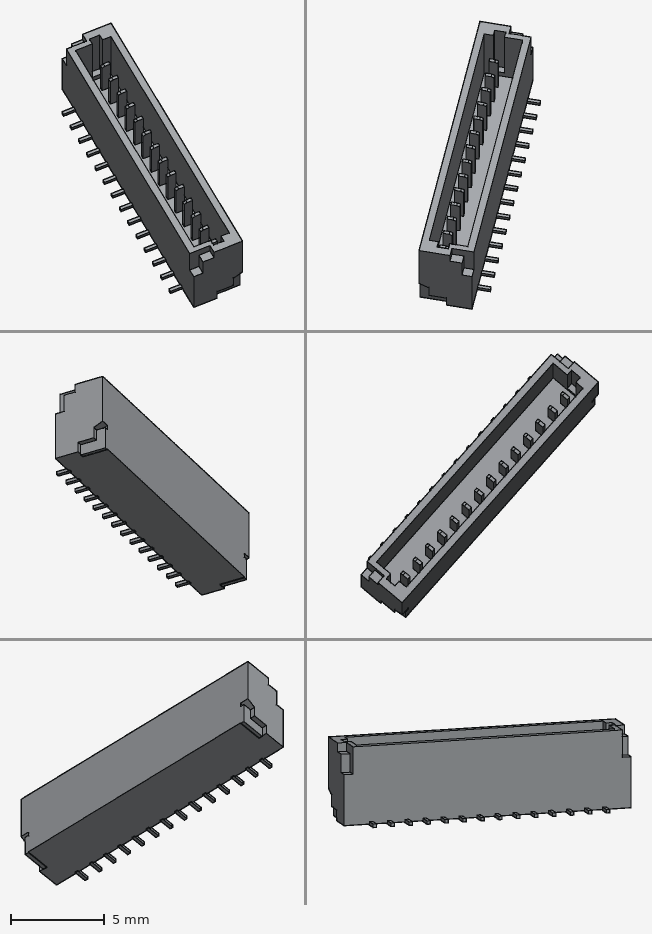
import cadquery as cq

LENGTH = 16.0
DEPTH = 2.9
HEIGHT = 4.32
STANDOFF = 0.05
FRONT = 0.0
BACK = FRONT + DEPTH
HALF_LENGTH = LENGTH / 2

END_WALL = 0.8
SIDE_WALL = 0.4
CAVITY_FLOOR = 0.96

KEY_REACH = 0.35
KEY_WIDTH = 0.6
KEY_BACK_OFFSET = 0.9
KEY_FLOOR = 1.28

NOTCH_INSET = 0.5
UPPER_STEP_WIDTH = 1.2
UPPER_STEP_DROP = 0.48
LOWER_STEP_WIDTH = 0.55
LOWER_STEP_DROP = 1.49

RECESS_DEPTH = 0.29
TAB_THICKNESS = 0.22
TAB_FOOT_WIDTH = 1.5
TAB_FOOT_HEIGHT = 0.64
TAB_ARM_WIDTH = 0.55
TAB_HEIGHT = 1.28
RECESS_HEIGHT = 1.52

PIN_COUNT = 14
END_MARGIN_PITCHES = 1.5
PITCH = LENGTH / (PIN_COUNT - 1 + 2 * END_MARGIN_PITCHES)
PIN_WIDTH = 0.2
FOOT_REACH = 0.7
FOOT_OVERLAP = 0.11
FOOT_HEIGHT = 0.2
PIN_BACK_OFFSET = 0.82
PIN_TIP_DEPTH = 0.34
PIN_DEPTH = 0.5
PIN_TOP = 3.05
PIN_TAPER_HEIGHT = 0.072


def block(x_min, x_max, y_min, y_max, z_min, z_max):
    """Axis-aligned box between two corners."""
    size = (x_max - x_min, y_max - y_min, z_max - z_min)
    return cq.Workplane("XY").box(*size, centered=False).translate((x_min, y_min, z_min))


def side_profile(points, x_start, width):
    """Outline of (y, z) points extruded along +X from x_start."""
    return cq.Workplane("YZ", origin=(x_start, 0, 0)).polyline(points).close().extrude(width)


def both_ends(left_end):
    """Left-end solid joined with its mirror image at the right end."""
    return left_end.union(left_end.mirror("YZ"))


def cavity():
    half_opening = HALF_LENGTH - END_WALL
    opening = block(
        -half_opening, half_opening, FRONT + SIDE_WALL, BACK - SIDE_WALL, CAVITY_FLOOR, HEIGHT
    )
    key_back = BACK - KEY_BACK_OFFSET
    key = block(
        -half_opening - KEY_REACH, -half_opening, key_back - KEY_WIDTH, key_back, KEY_FLOOR, HEIGHT
    )
    return opening.union(both_ends(key))


def corner_notches():
    profile = [
        (FRONT, HEIGHT),
        (FRONT + UPPER_STEP_WIDTH, HEIGHT),
        (FRONT + UPPER_STEP_WIDTH, HEIGHT - UPPER_STEP_DROP),
        (FRONT + LOWER_STEP_WIDTH, HEIGHT - UPPER_STEP_DROP),
        (FRONT + LOWER_STEP_WIDTH, HEIGHT - LOWER_STEP_DROP),
        (FRONT, HEIGHT - LOWER_STEP_DROP),
    ]
    return both_ends(side_profile(profile, -HALF_LENGTH, NOTCH_INSET))


def tab_outline(back_height):
    """L-shaped outline whose upright arm reaches back_height at the back face."""
    return [
        (BACK, 0),
        (BACK - TAB_FOOT_WIDTH, 0),
        (BACK - TAB_FOOT_WIDTH, TAB_FOOT_HEIGHT),
        (BACK - TAB_ARM_WIDTH, TAB_FOOT_HEIGHT),
        (BACK - TAB_ARM_WIDTH, TAB_HEIGHT),
        (BACK, back_height),
    ]


def tab_recesses():
    outline = tab_outline(RECESS_HEIGHT)
    return both_ends(side_profile(outline, -HALF_LENGTH, RECESS_DEPTH + TAB_THICKNESS))


def solder_tabs():
    outline = tab_outline(TAB_HEIGHT)
    return both_ends(side_profile(outline, -HALF_LENGTH + RECESS_DEPTH, TAB_THICKNESS))


def contact(x_center):
    x_min = x_center - PIN_WIDTH / 2
    foot = block(
        x_min, x_min + PIN_WIDTH, FRONT - FOOT_REACH, FRONT + FOOT_OVERLAP, 0, FOOT_HEIGHT
    )
    pin_back = BACK - PIN_BACK_OFFSET
    pin_profile = [
        (pin_back, CAVITY_FLOOR),
        (pin_back, PIN_TOP),
        (pin_back - PIN_TIP_DEPTH, PIN_TOP),
        (pin_back - PIN_DEPTH, PIN_TOP - PIN_TAPER_HEIGHT),
        (pin_back - PIN_DEPTH, CAVITY_FLOOR),
    ]
    return foot.union(side_profile(pin_profile, x_min, PIN_WIDTH))


housing = block(-HALF_LENGTH, HALF_LENGTH, FRONT, BACK, STANDOFF, HEIGHT)
housing = housing.cut(cavity()).cut(corner_notches()).cut(tab_recesses())

first_pin_x = -HALF_LENGTH + END_MARGIN_PITCHES * PITCH
result = housing.union(solder_tabs())
for index in range(PIN_COUNT):
    result = result.union(contact(first_pin_x + index * PITCH))